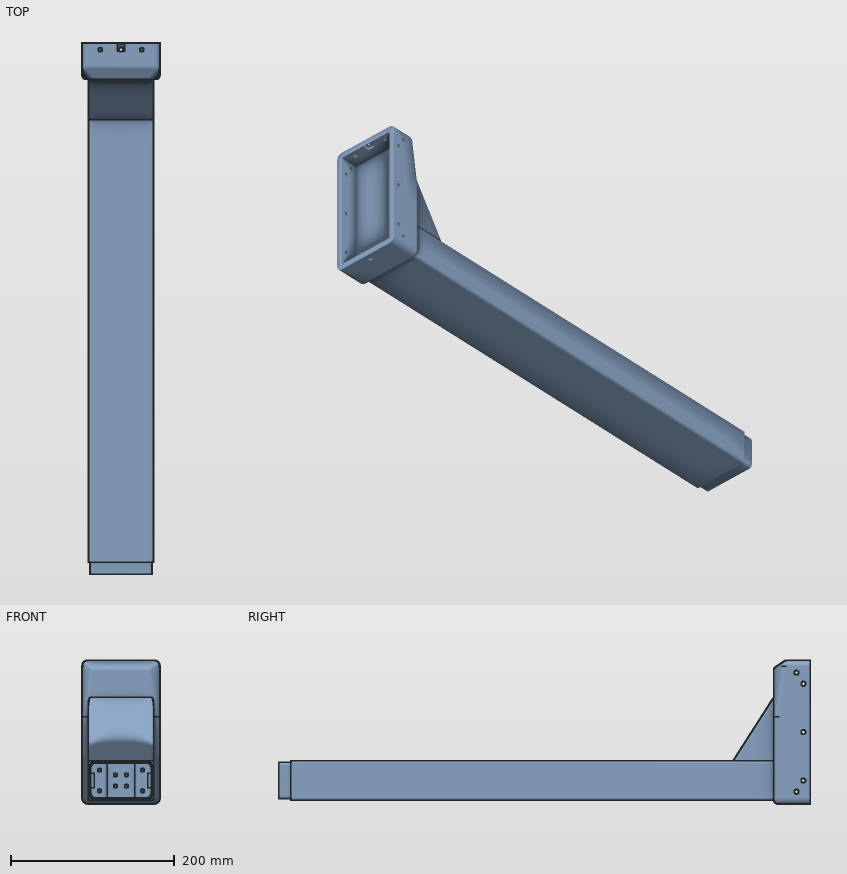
import cadquery as cq
import math


HEAD_WIDTH = 95.5
HEAD_HEIGHT = 176.0
HEAD_DEPTH = 45.0
HEAD_LONG_RADIUS = 8.0
HEAD_FRONT_RADIUS = 6.0
SLOPE_START_DEPTH = 30.0
SLOPE_DROP = 10.0
TAPER_BOTTOM = 106.5
TAPER_TOP_SIZE = 13.5
HEAD_WALL = 8.0
CAVITY_DEPTH = 26.0
TAPER_FOOT_FACTOR = 1.03

SCREW_DIAMETER = 5.0
SCREW_DEPTH = 8.5
DEEP_SCREW_DEPTH = 17.0
SIDE_SCREW_OFFSET = 59.0
DEEP_SCREW_OFFSET = 73.0
TOP_SCREW_X = 25.5
WINDOW_WIDTH = 10.0
WINDOW_LENGTH = 9.0
WINDOW_START_DEPTH = 1.0

ARM_WIDTH = 80.0
ARM_HEIGHT = 49.0
ARM_BOTTOM = 4.5
ARM_END_DEPTH = 635.0
ARM_RADIUS = 3.0
GUSSET_TOP = 130.5
GUSSET_END_DEPTH = 94.0

PLUG_END_DEPTH = 650.0
PLUG_INSERTION = 15.5
PLUG_INSET = 2.0
PLUG_RADIUS = 4.0
RIM = 1.0
FACE_RECESS = 0.5
FACE_RADIUS = 5.0
CHANNEL_WIDTH = 34.0
CHANNEL_RECESS = 5.0
PIN_HOLE_DIAMETER = 4.5
PIN_HOLE_DEPTH = 6.5
CHANNEL_HOLE_X = 6.8
CHANNEL_HOLE_Z = 6.8
PAD_HOLE_X = 26.3
PAD_HOLE_Z = 12.7
LATCH_INNER_X = 32.5
LATCH_HEIGHT = 17.5
LATCH_RECESS = 2.0

MARGIN = 0.5

ARM_TOP = ARM_BOTTOM + ARM_HEIGHT
ARM_MIDDLE = ARM_BOTTOM + ARM_HEIGHT / 2
HEAD_MIDDLE = HEAD_HEIGHT / 2
PLUG_WIDTH = ARM_WIDTH - 2 * PLUG_INSET
PLUG_HEIGHT = ARM_HEIGHT - 2 * PLUG_INSET


def block(width, height, middle_z, near_depth, far_depth):
    """Box centred on x = 0 that spans two depths."""
    return (
        cq.Workplane("XZ", origin=(0, -near_depth, middle_z))
        .rect(width, height)
        .extrude(far_depth - near_depth)
    )


def pin_bore(x, z, near_depth, far_depth):
    return (
        cq.Workplane("XZ", origin=(x, -near_depth, z))
        .circle(PIN_HOLE_DIAMETER / 2)
        .extrude(far_depth - near_depth)
    )


def lower_head():
    body = block(HEAD_WIDTH, TAPER_BOTTOM, TAPER_BOTTOM / 2, 0, HEAD_DEPTH)
    body = body.edges("|Y and <Z").fillet(HEAD_LONG_RADIUS)
    return body.faces("<Y").edges("not >Z").fillet(HEAD_FRONT_RADIUS)


def corner_cutter(side):
    """Wedge that leaves a 45 degree corner face that widens upward."""
    foot_size = (2 - math.sqrt(2)) * HEAD_FRONT_RADIUS * TAPER_FOOT_FACTOR
    corner_x = side * HEAD_WIDTH / 2

    def section(z, size):
        return cq.Wire.makePolygon(
            [
                cq.Vector(corner_x, -HEAD_DEPTH, z),
                cq.Vector(corner_x - side * size, -HEAD_DEPTH, z),
                cq.Vector(corner_x, -HEAD_DEPTH + size, z),
            ],
            close=True,
        )

    wires = [section(TAPER_BOTTOM, foot_size), section(HEAD_HEIGHT, TAPER_TOP_SIZE)]
    return cq.Workplane(cq.Solid.makeLoft(wires, True))


def upper_head():
    height = HEAD_HEIGHT - TAPER_BOTTOM
    body = block(HEAD_WIDTH, height, TAPER_BOTTOM + height / 2, 0, HEAD_DEPTH)
    slope = (
        cq.Workplane("YZ")
        .polyline(
            [
                (-SLOPE_START_DEPTH, HEAD_HEIGHT),
                (-HEAD_DEPTH, HEAD_HEIGHT),
                (-HEAD_DEPTH, HEAD_HEIGHT - SLOPE_DROP),
            ]
        )
        .close()
        .extrude(HEAD_WIDTH / 2, both=True)
    )
    body = body.cut(slope)
    for side in (-1, 1):
        body = body.cut(corner_cutter(side))
    body = body.edges("|Y and >Z").fillet(HEAD_LONG_RADIUS)
    front_edges = cq.selectors.BoxSelector(
        (-HEAD_WIDTH, -HEAD_DEPTH - MARGIN, TAPER_BOTTOM + MARGIN),
        (HEAD_WIDTH, -SLOPE_START_DEPTH + MARGIN, HEAD_HEIGHT + MARGIN),
    )
    return body.edges(front_edges).fillet(HEAD_FRONT_RADIUS)


def gusset():
    rib = (
        cq.Workplane("YZ", origin=(-ARM_WIDTH / 2, 0, 0))
        .polyline(
            [
                (-HEAD_DEPTH, GUSSET_TOP),
                (-GUSSET_END_DEPTH, ARM_TOP),
                (-HEAD_DEPTH, ARM_TOP),
            ]
        )
        .close()
        .extrude(ARM_WIDTH)
    )
    return rib.edges("not (|X or |Y or |Z)").fillet(ARM_RADIUS)


def plug_blank():
    blank = block(PLUG_WIDTH, PLUG_HEIGHT, ARM_MIDDLE, ARM_END_DEPTH - PLUG_INSERTION, PLUG_END_DEPTH)
    return blank.edges("|Y").fillet(PLUG_RADIUS)


def screw_holes():
    holes = []
    side_screws = [
        (SCREW_DEPTH, HEAD_MIDDLE - SIDE_SCREW_OFFSET),
        (SCREW_DEPTH, HEAD_MIDDLE),
        (SCREW_DEPTH, HEAD_MIDDLE + SIDE_SCREW_OFFSET),
        (DEEP_SCREW_DEPTH, HEAD_MIDDLE - DEEP_SCREW_OFFSET),
        (DEEP_SCREW_DEPTH, HEAD_MIDDLE + DEEP_SCREW_OFFSET),
    ]
    for depth, z in side_screws:
        hole = cq.Workplane("YZ", origin=(0, -depth, z)).circle(SCREW_DIAMETER / 2)
        holes.append(hole.extrude(HEAD_WIDTH, both=True))
    for x, z in [(-TOP_SCREW_X, HEAD_HEIGHT), (TOP_SCREW_X, HEAD_HEIGHT), (0, 0)]:
        hole = cq.Workplane("XY", origin=(x, -SCREW_DEPTH, z)).circle(SCREW_DIAMETER / 2)
        holes.append(hole.extrude(HEAD_WALL + MARGIN, both=True))
    return holes


def make_housing():
    arm = block(ARM_WIDTH, ARM_HEIGHT, ARM_MIDDLE, HEAD_DEPTH, ARM_END_DEPTH)
    arm = arm.edges("|Y").fillet(ARM_RADIUS)
    housing = lower_head().union(upper_head()).union(arm).union(gusset())

    cavity = block(
        HEAD_WIDTH - 2 * HEAD_WALL, HEAD_HEIGHT - 2 * HEAD_WALL, HEAD_MIDDLE, 0, CAVITY_DEPTH
    )
    window = block(
        WINDOW_WIDTH,
        2 * HEAD_WALL,
        HEAD_HEIGHT,
        WINDOW_START_DEPTH,
        WINDOW_START_DEPTH + WINDOW_LENGTH,
    )
    housing = housing.cut(cavity).cut(window)
    for hole in screw_holes():
        housing = housing.cut(hole)
    return housing.cut(plug_blank())


def make_plug():
    plug = plug_blank()
    pad_depth = PLUG_END_DEPTH - FACE_RECESS
    floor_depth = pad_depth - CHANNEL_RECESS
    inner_width = PLUG_WIDTH - 2 * RIM
    inner_height = PLUG_HEIGHT - 2 * RIM

    recess = block(inner_width, inner_height, ARM_MIDDLE, pad_depth, PLUG_END_DEPTH)
    plug = plug.cut(recess.edges("|Y").fillet(FACE_RADIUS))

    half_width = CHANNEL_WIDTH / 2
    lip = half_width + CHANNEL_RECESS
    bend = CHANNEL_RECESS * (1 - math.sqrt(0.5))
    channel = (
        cq.Workplane("XY", origin=(0, 0, ARM_MIDDLE))
        .moveTo(-half_width, -floor_depth)
        .threePointArc((-half_width - bend, -pad_depth + bend), (-lip, -pad_depth))
        .lineTo(lip, -pad_depth)
        .threePointArc((half_width + bend, -pad_depth + bend), (half_width, -floor_depth))
        .close()
        .extrude(inner_height / 2, both=True)
    )
    plug = plug.cut(channel)

    latch_width = inner_width / 2 - LATCH_INNER_X
    for side in (-1, 1):
        latch = block(latch_width, LATCH_HEIGHT, ARM_MIDDLE, pad_depth - LATCH_RECESS, pad_depth)
        plug = plug.cut(latch.translate((side * (LATCH_INNER_X + latch_width / 2), 0, 0)))
        for level in (-1, 1):
            channel_z = ARM_MIDDLE + level * CHANNEL_HOLE_Z
            pad_z = ARM_MIDDLE + level * PAD_HOLE_Z
            channel_bore = pin_bore(
                side * CHANNEL_HOLE_X, channel_z, floor_depth - PIN_HOLE_DEPTH, floor_depth
            )
            pad_bore = pin_bore(side * PAD_HOLE_X, pad_z, pad_depth - PIN_HOLE_DEPTH, pad_depth)
            plug = plug.cut(channel_bore).cut(pad_bore)
    return plug


housing = make_housing()
plug = make_plug()
result = cq.Compound.makeCompound([housing.val(), plug.val()])